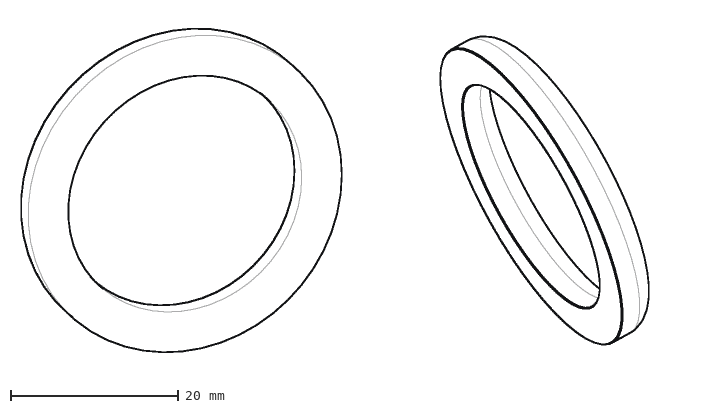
import cadquery as cq

outer_radius = 20.0
inner_radius = 15.0
width = 5.0
edge_chamfer = 0.1

round_radius = (outer_radius - inner_radius) / 2
middle_radius = (outer_radius + inner_radius) / 2
round_start = width - round_radius

section = (
    cq.Workplane("XY")
    .moveTo(0, inner_radius + edge_chamfer)
    .lineTo(edge_chamfer, inner_radius)
    .lineTo(round_start, inner_radius)
    .threePointArc((width, middle_radius), (round_start, outer_radius))
    .lineTo(edge_chamfer, outer_radius)
    .lineTo(0, outer_radius - edge_chamfer)
    .close()
)

result = section.revolve(360, (0, 0, 0), (1, 0, 0))